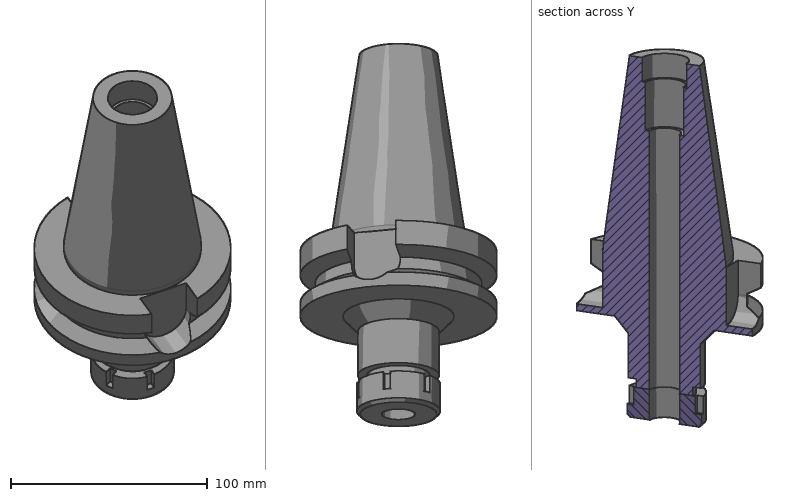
import cadquery as cq

total_height = 191.8
nut_height = 16.1
sleeve_bottom = 20.7
cone_bottom = 44.3
flange_bottom = 52.4
lower_rim_top = 59.5
groove_bottom = 63.9
groove_top = 70.0
upper_rim_bottom = 74.2
flange_top = 87.0
taper_bottom = 90.0

flange_radius = 100.0 / 2
groove_radius = 42.4
taper_large_radius = 35.0
taper_small_radius = 40.0 / 2
cone_large_radius = 28.2
sleeve_radius = 41.2 / 2
neck_radius = 16.1

through_radius = 8.5
middle_bore_radius = 10.7
mouth_bore_radius = 12.5
mouth_bore_depth = 12.9
middle_bore_depth = 38.4

keyway_width = 25.9
keyway_floor = 35.3
keyway_bottom = 56.2

nut_radius = 42.4 / 2
nut_chamfer = 1.7
slot_count = 6
slot_width = 3.8
slot_bottom = 7.0
slot_floor_radius = 17.6


def make_blank():
    """Turned outline of the holder, revolved about Z."""
    outline = [
        (0, nut_height),
        (neck_radius, nut_height),
        (neck_radius, sleeve_bottom),
        (sleeve_radius, sleeve_bottom),
        (sleeve_radius, cone_bottom),
        (cone_large_radius, flange_bottom),
        (flange_radius, flange_bottom),
        (flange_radius, lower_rim_top),
        (groove_radius, groove_bottom),
        (groove_radius, groove_top),
        (flange_radius, upper_rim_bottom),
        (flange_radius, flange_top),
        (taper_large_radius, flange_top),
        (taper_large_radius, taper_bottom),
        (taper_small_radius, total_height),
        (0, total_height),
    ]
    return cq.Workplane("XZ").polyline(outline).close().revolve(360, (0, 0), (0, 1))


def bore_from_top(radius, depth):
    """Cylinder reaching down from the small end of the taper."""
    return cq.Workplane("XY").workplane(offset=total_height - depth).circle(radius).extrude(depth)


def make_keyway():
    """Cutter for the +X keyway: straight sides, half-round lower end, open at the top."""
    half_width = keyway_width / 2
    arc_center = keyway_bottom + half_width
    return (
        cq.Workplane("YZ", origin=(keyway_floor, 0, 0))
        .moveTo(-half_width, flange_top)
        .lineTo(-half_width, arc_center)
        .threePointArc((0, keyway_bottom), (half_width, arc_center))
        .lineTo(half_width, flange_top)
        .close()
        .extrude(flange_radius - keyway_floor)
    )


def make_holder():
    holder = make_blank()
    holder = holder.cut(bore_from_top(through_radius, total_height))
    holder = holder.cut(bore_from_top(middle_bore_radius, middle_bore_depth))
    holder = holder.cut(bore_from_top(mouth_bore_radius, mouth_bore_depth))
    keyway = make_keyway()
    for angle in (0, 180):
        holder = holder.cut(keyway.rotate((0, 0, 0), (0, 0, 1), angle))
    return holder


def make_nut():
    """Ring below the neck, with wrench slots open at its upper face."""
    nut = (
        cq.Workplane("XY")
        .circle(nut_radius)
        .extrude(nut_height)
        .faces("<Z")
        .chamfer(nut_chamfer)
        .cut(cq.Workplane("XY").circle(through_radius).extrude(nut_height))
    )
    slot_depth = nut_radius - slot_floor_radius
    slot_height = nut_height - slot_bottom
    slot = cq.Workplane("XY", origin=(slot_floor_radius, 0, slot_bottom)).box(
        slot_depth, slot_width, slot_height, centered=(False, True, False)
    )
    for index in range(slot_count):
        nut = nut.cut(slot.rotate((0, 0, 0), (0, 0, 1), index * 360 / slot_count))
    return nut


holder = make_holder()
nut = make_nut()
result = cq.Compound.makeCompound([holder.val(), nut.val()])